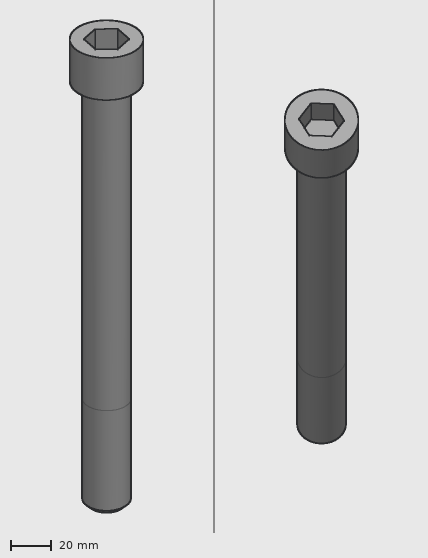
import cadquery as cq
import math

thread_diameter = 24.0
head_diameter = 36.0
head_height = 24.0
shank_length = 240.0
thread_length = 60.0
tip_chamfer = 3.0
socket_sides = 6
socket_across_flats = 19.15
socket_depth = 14.0


def make_head():
    return cq.Workplane("XY").circle(head_diameter / 2).extrude(head_height)


def make_plain_shank():
    plain_length = shank_length - thread_length
    return cq.Workplane("XY").circle(thread_diameter / 2).extrude(-plain_length)


def make_threaded_end():
    return (
        cq.Workplane("XY", origin=(0, 0, -shank_length))
        .circle(thread_diameter / 2)
        .extrude(thread_length)
        .faces("<Z")
        .chamfer(tip_chamfer)
    )


def make_socket():
    across_corners = socket_across_flats / math.cos(math.pi / socket_sides)
    return (
        cq.Workplane("XY", origin=(0, 0, head_height))
        .polygon(socket_sides, across_corners)
        .extrude(-socket_depth)
    )


result = make_head().union(make_plain_shank()).union(make_threaded_end()).cut(make_socket())